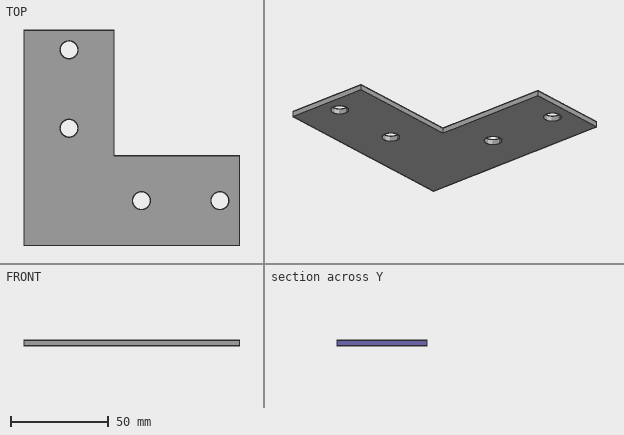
import cadquery as cq

leg_length = 110.0
leg_width = 46.0
thickness = 3.0
hole_diameter = 9.0
end_margin = 10.0
hole_pitch = 40.0

plate = (
    cq.Workplane("XY")
    .moveTo(0, 0)
    .lineTo(leg_length, 0)
    .lineTo(leg_length, leg_width)
    .lineTo(leg_width, leg_width)
    .lineTo(leg_width, leg_length)
    .lineTo(0, leg_length)
    .close()
    .extrude(thickness)
)

centreline = leg_width / 2
outer_hole = leg_length - end_margin
inner_hole = outer_hole - hole_pitch

hole_centres = []
for distance in (inner_hole, outer_hole):
    hole_centres.append((distance, centreline))
    hole_centres.append((centreline, distance))

holes = (
    cq.Workplane("XY")
    .pushPoints(hole_centres)
    .circle(hole_diameter / 2)
    .extrude(thickness)
)

result = plate.cut(holes)